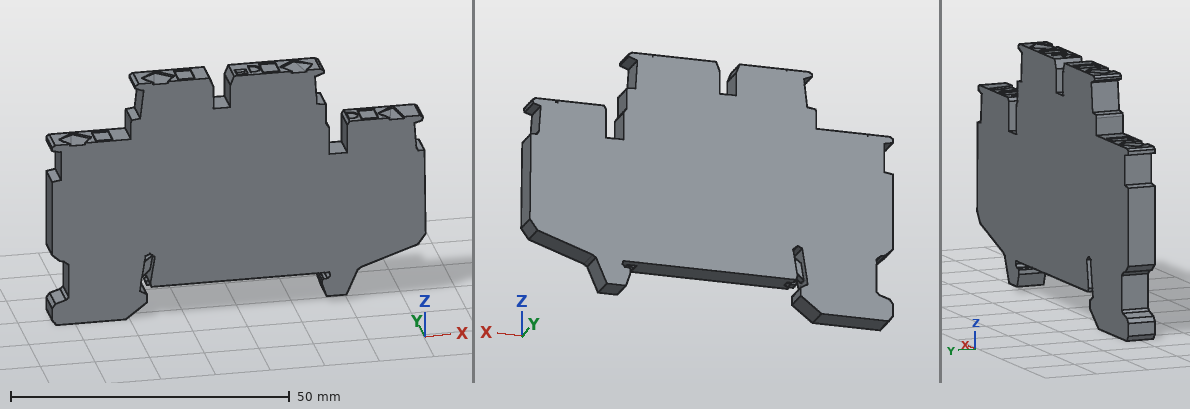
import cadquery as cq

LENGTH = 68.4
HEIGHT = 45.8
THICKNESS = 5.2
FRONT_Y = -THICKNESS / 2

LOWER_TOP = 35.15
RAIL_FACE = 5.95
TOE_BOTTOM = 1.3
LIP_RISE = 0.4
LIP_EDGE = 0.8
LIP_UNDER = 1.45

SLOT_LEFT_FOOT = (16.2, 6.4)
SLOT_LEFT_HEAD = (17.1, 12.05)
SLOT_PEAK = (17.9, 12.45)
SLOT_RIGHT_HEAD = (18.8, 11.7)
SLOT_RIGHT_FOOT = (18.0, 6.65)

PLATE_THICKNESS = 1.7
PLATE_OVERLAP = 0.7
FOOT_BOTTOM = RAIL_FACE - 0.35

FUNNEL_DEPTH = 0.35
WINDOW_DEPTH = 0.2
WINDOW_LENGTH = 3.0
WINDOW_WIDTH = 4.0
BUTTON_DEPTH = 0.2
BUTTON_RADIUS = 1.45
BUTTON_FLAT = 0.4
TEST_DEPTH = 0.35
TEST_SIDE = 2.05
TEST_FLOOR_SIDE = 1.4
TEST_CENTRE = (34.95, -0.95)

FUNNEL_HALF_LENGTH = 2.95
FUNNEL_BACK_Y = 2.4
FUNNEL_SIDE_Y = -0.15
FUNNEL_FRONT_HALF = 1.3
FUNNEL_BACK_FLAT = 0.35
RAMP_END_X = -0.3

WINDOWS = [(9.7, LOWER_TOP), (24.75, HEIGHT), (40.3, HEIGHT), (58.35, LOWER_TOP)]
BUTTONS = [(37.1, HEIGHT), (55.05, LOWER_TOP)]
FUNNELS = [
    (4.7, LOWER_TOP, -1, True),
    (19.9, HEIGHT, -1, True),
    (45.2, HEIGHT, 1, True),
    (63.1, LOWER_TOP, -1, False),
]


def extrude_profile(points, thickness):
    """Extrude an (x, z) outline symmetrically about Y = 0."""
    return cq.Workplane("XZ").polyline(points).close().extrude(thickness / 2, both=True)


def housing():
    """Full-thickness body; the outline runs clockwise from the bottom left corner."""
    left_side = [
        (0.75, 0), (0, 1.0), (0, 3.35), (0.6, 4.2), (2.5, 4.8), (3.1, 5.3),
        (3.1, 11.55), (2.2, 12.3), (1.45, 12.45), (0, 13.75),
        (0, 28.05), (1.65, 28.3), (1.65, LOWER_TOP - LIP_UNDER),
        (0, 34.05), (0, LOWER_TOP - LIP_RISE), (0.55, LOWER_TOP),
    ]
    upper_tiers = [
        (14.4, LOWER_TOP), (14.4, 38.4), (14.6, 38.85), (16.15, 39.05),
        (16.75, HEIGHT - LIP_UNDER), (15.2, HEIGHT - LIP_EDGE),
        (15.2, HEIGHT - LIP_RISE), (15.9, HEIGHT),
        (28.85, HEIGHT), (29.55, 44.1), (29.55, 39.8), (32.6, 39.8), (32.6, 44.1), (33.3, HEIGHT),
        (49.1, HEIGHT), (49.8, HEIGHT - LIP_RISE), (49.8, HEIGHT - LIP_EDGE),
        (48.15, HEIGHT - LIP_UNDER),
        (48.5, 39.05), (50.15, 38.85), (50.15, 35.1), (50.75, 34.2), (50.75, 29.1),
    ]
    right_side = [
        (54.05, 29.1), (54.05, 34.5), (54.45, LOWER_TOP),
        (67.4, LOWER_TOP), (67.9, LOWER_TOP - LIP_RISE), (67.7, 34.1), (66.35, LOWER_TOP - LIP_UNDER),
        (66.7, 28.9), (67.0, 28.3), (68.2, 28.25), (LENGTH, 12.0),
        (66.95, 10.0), (56.65, 6.5), (55.95, 6.0),
    ]
    rail_hooks = [
        (53.9, TOE_BOTTOM), (50.3, TOE_BOTTOM), (49.45, 3.7), (49.45, 4.5), (49.7, 4.8),
        (50.4, 4.8), (50.95, 5.35), (50.75, RAIL_FACE), (18.2, RAIL_FACE),
        SLOT_RIGHT_FOOT, SLOT_RIGHT_HEAD, SLOT_PEAK, SLOT_LEFT_HEAD, SLOT_LEFT_FOOT,
        (16.1, 5.35), (17.4, 4.6), (17.4, 3.0), (13.5, 0),
    ]
    return extrude_profile(left_side + upper_tiers + right_side + rail_hooks, THICKNESS)


def inner_plate():
    """Visible parts of the thin plate: a bridge across the slot and two small feet."""
    slot_bridge = [
        (16.4 - PLATE_OVERLAP, 6.15), (18.1 + PLATE_OVERLAP, 9.1),
        (18.55 + PLATE_OVERLAP, 11.7), (16.95 - PLATE_OVERLAP, 9.5),
    ]
    left_foot = [
        (18.05, 6.65), (17.5, 6.2), (17.7, FOOT_BOTTOM), (18.75, FOOT_BOTTOM), (19.35, RAIL_FACE),
        (19.35, RAIL_FACE + PLATE_OVERLAP),
    ]
    right_foot = [
        (47.75, RAIL_FACE + PLATE_OVERLAP), (47.75, RAIL_FACE), (48.15, FOOT_BOTTOM),
        (49.1, FOOT_BOTTOM), (49.5, RAIL_FACE), (49.5, RAIL_FACE + PLATE_OVERLAP),
    ]
    plate = extrude_profile(slot_bridge, PLATE_THICKNESS)
    for foot in (left_foot, right_foot):
        plate = plate.union(extrude_profile(foot, PLATE_THICKNESS))
    return plate


def funnel(centre_x, top, ramp_side, pointed):
    """Kite pocket with a flat floor; its ramp side slopes up to the kite's side corner."""
    tip = (-FUNNEL_HALF_LENGTH, FUNNEL_SIDE_Y)
    back = (0, FUNNEL_BACK_Y)
    ramp_front = (-FUNNEL_FRONT_HALF, FRONT_Y)
    far_front = (FUNNEL_FRONT_HALF, FRONT_Y)
    ramp_back_y = FUNNEL_BACK_Y + RAMP_END_X * (FUNNEL_BACK_Y - FUNNEL_SIDE_Y) / FUNNEL_HALF_LENGTH
    ramp_back = (RAMP_END_X, ramp_back_y)

    floor_outline = [ramp_back, back]
    if pointed:
        floor_outline.append((FUNNEL_HALF_LENGTH, FUNNEL_SIDE_Y))
    else:
        floor_outline.append((FUNNEL_BACK_FLAT, FUNNEL_BACK_Y))
    floor_outline += [far_front, ramp_front]
    flat = cq.Workplane("XY").polyline(floor_outline).close().extrude(-FUNNEL_DEPTH)

    ramp_corners = [(*tip, 0), (*ramp_back, 0), (*ramp_front, 0),
                    (*ramp_back, -FUNNEL_DEPTH), (*ramp_front, -FUNNEL_DEPTH)]
    ramp_faces = [(0, 1, 2), (0, 1, 3), (0, 2, 4), (0, 3, 4), (1, 2, 4, 3)]
    faces = []
    for indices in ramp_faces:
        corners = [cq.Vector(*ramp_corners[i]) for i in indices]
        faces.append(cq.Face.makeFromWires(cq.Wire.makePolygon(corners, close=True)))
    ramp = cq.Solid.makeSolid(cq.Shell.makeShell(faces))

    cutter = flat.union(cq.Workplane(ramp))
    if ramp_side > 0:
        cutter = cutter.mirror("YZ")
    return cutter.translate((centre_x, 0, top))


def window(centre_x, top):
    """Shallow rectangular recess."""
    return (cq.Workplane("XY", origin=(centre_x, 0, top))
            .rect(WINDOW_LENGTH, WINDOW_WIDTH).extrude(-WINDOW_DEPTH))


def button(centre_x, top):
    """Round recess with a flat left side."""
    disc = cq.Workplane("XY", origin=(centre_x, 0, top)).circle(BUTTON_RADIUS).extrude(-BUTTON_DEPTH)
    kept = (cq.Workplane("XY", origin=(centre_x - BUTTON_FLAT, 0, top))
            .rect(2 * BUTTON_RADIUS, 2 * BUTTON_RADIUS).extrude(-BUTTON_DEPTH)
            .translate((BUTTON_RADIUS, 0, 0)))
    return disc.intersect(kept)


def test_point():
    """Square recess whose walls taper towards the floor."""
    return (cq.Workplane("XY", origin=(*TEST_CENTRE, HEIGHT))
            .rect(TEST_SIDE, TEST_SIDE)
            .workplane(offset=-TEST_DEPTH)
            .rect(TEST_FLOOR_SIDE, TEST_FLOOR_SIDE)
            .loft(combine=True))


result = housing().union(inner_plate())
for placement in FUNNELS:
    result = result.cut(funnel(*placement))
for placement in WINDOWS:
    result = result.cut(window(*placement))
for placement in BUTTONS:
    result = result.cut(button(*placement))
result = result.cut(test_point())